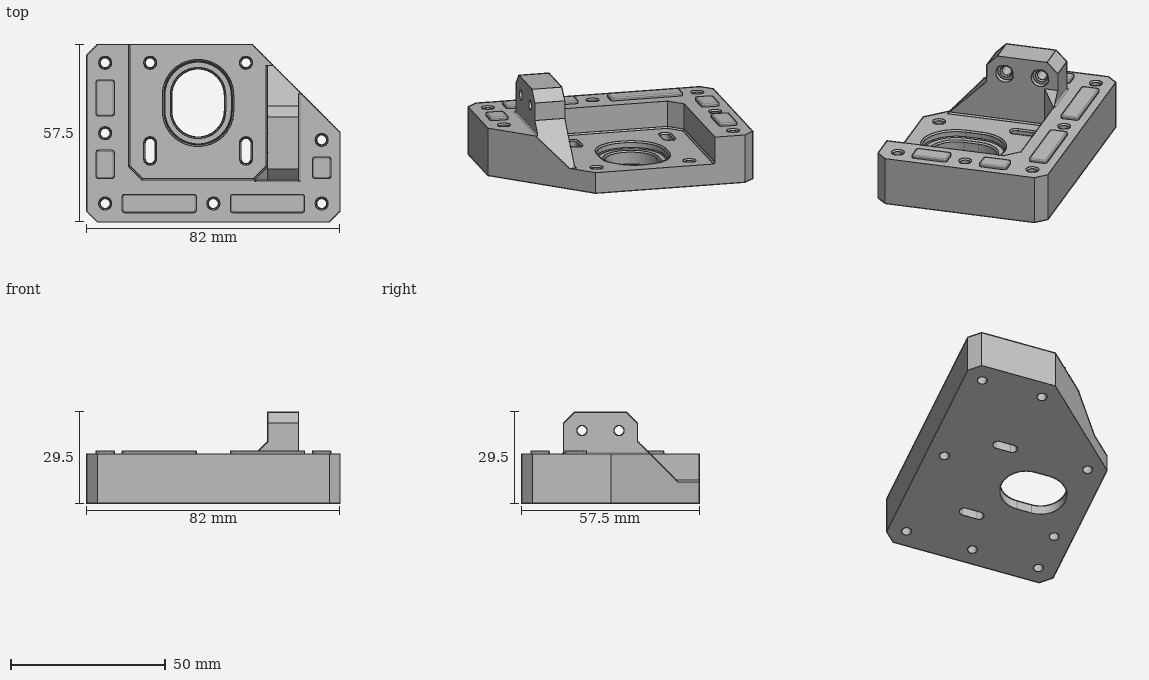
import cadquery as cq

length = 82.0
width = 57.5
plate_height = 16.0
total_height = 29.5
corner_cut = 3.5
diagonal_cut = 28.5

floor_z = 7.0
seat_size = 45.0
seat_left = 13.5
seat_right = seat_left + seat_size
seat_front = 13.5
seat_corner = 4.4
floor_chamfer = 0.5

screw_spacing = 31.0
travel = 5.0
motor_x = seat_left + seat_size / 2
screw_inset = 6.0
back_screw_y = width - screw_inset
front_screw_y = back_screw_y - screw_spacing
motor_y = back_screw_y - screw_spacing / 2 + travel / 2

boss_diameter = 22.1
boss_depth = 2.5
boss_chamfer = 0.5
boss_floor_chamfer = 0.3
shaft_diameter = 17.0

hole_diameter = 3.2
hole_chamfer = 0.5
side_screw_y = 26.6

pad_width = 6.0
pad_height = 1.0
pad_gap = 5.5
pad_end_y = 14.0
pad_corner_radius = 1.0
pad_edge = 0.4

bracket_thickness = 10.0
bracket_right = seat_right + bracket_thickness
bracket_front = seat_front
bracket_back = 37.55
bracket_corner = 3.6
shoulder_z = 20.0
base_fillet = 0.5
bracket_hole_z = 23.5
bracket_hole_spacing = 12.0
counterbore_diameter = 5.9
counterbore_depth = 2.0

middle_x = length / 2
middle_y = width / 2
right_x = length - screw_inset


def outline(height):
    """Plate outline: three cut corners and one long diagonal."""
    points = [
        (corner_cut, 0),
        (length - corner_cut, 0),
        (length, corner_cut),
        (length, width - diagonal_cut),
        (length - diagonal_cut, width),
        (corner_cut, width),
        (0, width - corner_cut),
        (0, corner_cut),
    ]
    return cq.Workplane("XY").polyline(points).close().extrude(height)


def seat_cutter():
    """Seat volume, chamfered where its walls meet the floor."""
    beyond_back = width + seat_corner
    points = [
        (seat_left, beyond_back),
        (seat_left, seat_front + seat_corner),
        (seat_left + seat_corner, seat_front),
        (seat_right - seat_corner, seat_front),
        (seat_right, seat_front + seat_corner),
        (seat_right, beyond_back),
    ]
    seat = cq.Workplane("XY", origin=(0, 0, floor_z)).polyline(points).close()
    return seat.extrude(total_height).faces("<Z").edges().chamfer(floor_chamfer)


def bracket():
    """Upright block with cut top corners, plus the gusset over the seat corner."""
    profile = [
        (bracket_front, 0),
        (width, 0),
        (width, plate_height),
        (bracket_back, shoulder_z),
        (bracket_back, total_height - bracket_corner),
        (bracket_back - bracket_corner, total_height),
        (bracket_front + bracket_corner, total_height),
        (bracket_front, total_height - bracket_corner),
    ]
    block = cq.Workplane("YZ", origin=(seat_right, 0, 0)).polyline(profile).close()
    block = block.extrude(bracket_thickness)
    gusset_rise = shoulder_z - plate_height
    gusset_profile = [
        (seat_right, shoulder_z),
        (seat_right, plate_height),
        (seat_right - gusset_rise, plate_height),
    ]
    gusset = cq.Workplane("XZ", origin=(0, bracket_front, 0)).polyline(gusset_profile).close()
    gusset = gusset.extrude(-seat_corner)
    return block.union(gusset).intersect(outline(total_height))


def slope_cutter():
    """Space above the 45 degree slope that runs from the bracket's back down to the floor."""
    beyond_back = width + seat_corner
    points = [
        (bracket_back, shoulder_z),
        (bracket_back + shoulder_z - floor_z, floor_z),
        (beyond_back, floor_z),
        (beyond_back, shoulder_z),
    ]
    start_x = seat_right - floor_chamfer
    slope = cq.Workplane("YZ", origin=(start_x, 0, 0)).polyline(points).close()
    return slope.extrude(bracket_right + base_fillet - start_x)


def opening_cutter(x, y, top_z, diameter, stretch, depth, chamfer):
    """Round hole, or slot along Y when stretched, with a chamfered mouth."""
    def shape(z):
        plane = cq.Workplane("XY", origin=(x, y, z))
        if stretch == 0:
            return plane.circle(diameter / 2)
        return plane.slot2D(diameter + stretch, diameter, 90)

    mouth = shape(top_z - chamfer).extrude(chamfer, taper=-45)
    return shape(top_z - depth).extrude(depth).union(mouth)


def boss_cutter():
    """Stretched boss recess with chamfered floor, and the shaft opening below it."""
    recess = opening_cutter(motor_x, motor_y, floor_z, boss_diameter, travel, boss_depth, boss_chamfer)
    recess = recess.faces("<Z").edges().chamfer(boss_floor_chamfer)
    ledge_z = floor_z - boss_depth
    shaft = opening_cutter(motor_x, motor_y, ledge_z, shaft_diameter, travel, ledge_z, boss_chamfer)
    return recess.union(shaft)


def pad(x_start, x_end, y_start, y_end):
    """Low pad with rounded corners and a softened top edge."""
    center = ((x_start + x_end) / 2, (y_start + y_end) / 2, plate_height)
    block = cq.Workplane("XY", origin=center).rect(x_end - x_start, y_end - y_start).extrude(pad_height)
    block = block.edges("|Z").fillet(pad_corner_radius)
    return block.faces(">Z").edges().fillet(pad_edge)


def bracket_hole_cutter(y):
    """Hole through the bracket, counterbored on the seat side."""
    def disc(x, diameter):
        return cq.Workplane("YZ", origin=(x, y, bracket_hole_z)).circle(diameter / 2)

    bore_floor_x = seat_right + counterbore_depth
    cutter = disc(seat_right, hole_diameter).extrude(bracket_thickness)
    cutter = cutter.union(disc(seat_right, counterbore_diameter).extrude(counterbore_depth))
    mouth = disc(bore_floor_x, hole_diameter + 2 * hole_chamfer).extrude(hole_chamfer, taper=45)
    return cutter.union(mouth)


body = outline(plate_height).union(bracket()).cut(seat_cutter())
edge_search = 0.1
base_edges = cq.selectors.BoxSelector(
    (seat_right - seat_corner, bracket_front - edge_search, plate_height - edge_search),
    (bracket_right + edge_search, bracket_front + edge_search, plate_height + edge_search),
) + cq.selectors.BoxSelector(
    (bracket_right - edge_search, bracket_front, plate_height - edge_search),
    (bracket_right + edge_search, width, plate_height + edge_search),
)
body = body.edges(base_edges).fillet(base_fillet)
body = body.cut(slope_cutter())

rim_holes = [
    (screw_inset, screw_inset),
    (middle_x, screw_inset),
    (right_x, screw_inset),
    (right_x, side_screw_y),
    (screw_inset, middle_y),
    (screw_inset, back_screw_y),
]
for x, y in rim_holes:
    body = body.cut(opening_cutter(x, y, plate_height, hole_diameter, 0, plate_height, hole_chamfer))

body = body.cut(boss_cutter())
for side in (-1, 1):
    x = motor_x + side * screw_spacing / 2
    slot_y = front_screw_y + travel / 2
    body = body.cut(opening_cutter(x, back_screw_y, floor_z, hole_diameter, 0, floor_z, hole_chamfer))
    body = body.cut(opening_cutter(x, slot_y, floor_z, hole_diameter, travel, floor_z, hole_chamfer))

bracket_middle = (bracket_front + bracket_back) / 2
for side in (-1, 1):
    body = body.cut(bracket_hole_cutter(bracket_middle + side * bracket_hole_spacing / 2))

half_pad = pad_width / 2
left_span = (screw_inset - half_pad, screw_inset + half_pad)
right_span = (right_x - half_pad, right_x + half_pad)
pads = [
    (screw_inset + pad_gap, middle_x - pad_gap, *left_span),
    (middle_x + pad_gap, right_x - pad_gap, *left_span),
    (*left_span, pad_end_y, middle_y - pad_gap),
    (*left_span, middle_y + pad_gap, back_screw_y - pad_gap),
    (*right_span, pad_end_y, side_screw_y - pad_gap),
]
for extents in pads:
    body = body.union(pad(*extents))

result = body